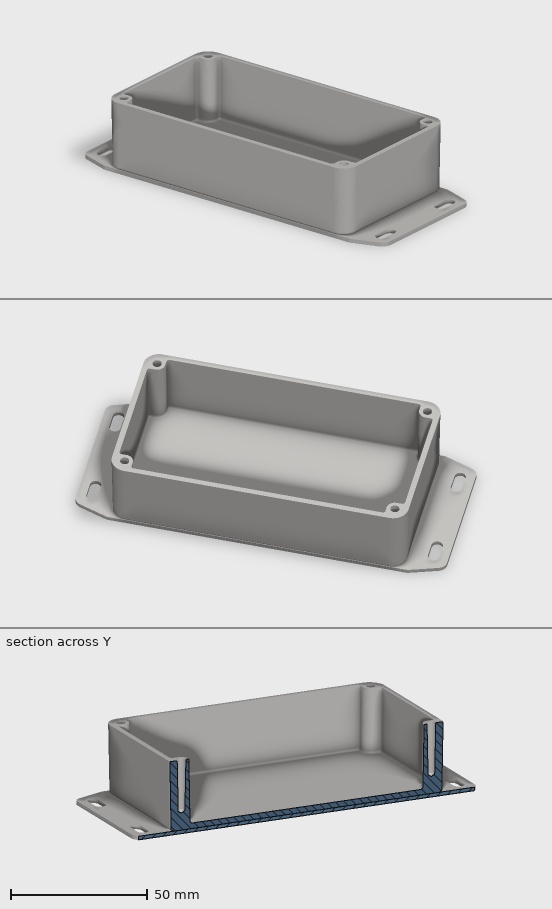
import cadquery as cq
import math

plate_length = 140.2
plate_width = 59.0
plate_thickness = 1.5
plate_full_width_length = 113.5
ear_end_width = 49.9
ear_corner_radius = 3.5

slot_width = 4.2
slot_length = 9.8
slot_spacing_x = 129.0
slot_spacing_y = 35.6

box_length = 112.0
box_width = 60.5
total_height = 28.5
box_height = total_height - plate_thickness
box_corner_radius = 5.9
draft_angle = 1.1
bottom_edge_radius = 1.0

wall_thickness = 2.1
floor_thickness = 2.1
inner_edge_radius = 1.0

boss_radius = 3.1
screw_spacing_x = 102.1
screw_spacing_y = 50.5
screw_hole_diameter = 3.4
screw_hole_end_diameter = 2.5
screw_hole_depth = 19.6
screw_hole_tip_angle = 118.0


def make_plate():
    """Flat plate with tapering ears and two elongated mounting slots at each end."""
    half_length = plate_length / 2
    half_width = plate_width / 2
    ear_start = plate_full_width_length / 2
    half_end = ear_end_width / 2
    plate = (
        cq.Workplane("XY")
        .polyline([
            (-half_length, -half_end),
            (-ear_start, -half_width),
            (ear_start, -half_width),
            (half_length, -half_end),
            (half_length, half_end),
            (ear_start, half_width),
            (-ear_start, half_width),
            (-half_length, half_end),
        ])
        .close()
        .extrude(plate_thickness)
    )
    end_corners = plate.faces("<X or >X").edges("|Z")
    plate = end_corners.fillet(ear_corner_radius)
    slots = (
        cq.Workplane("XY")
        .rarray(slot_spacing_x, slot_spacing_y, 2, 2)
        .slot2D(slot_length, slot_width, 90)
        .extrude(plate_thickness)
    )
    return plate.cut(slots)


def make_shell():
    """Outer form of the box: drafted walls, rounded corners and a rounded bottom edge."""
    rim = cq.Sketch().rect(box_length, box_width).vertices().fillet(box_corner_radius)
    shell = (
        cq.Workplane("XY", origin=(0, 0, total_height))
        .placeSketch(rim)
        .extrude(-box_height, taper=draft_angle)
    )
    return shell.faces("<Z").edges().fillet(bottom_edge_radius)


def make_cavity():
    """Inner space of the box, stepping around a rounded boss in each corner."""
    cavity_length = box_length - 2 * wall_thickness
    cavity_width = box_width - 2 * wall_thickness
    block_length = cavity_length - screw_spacing_x + 2 * boss_radius
    block_width = cavity_width - screw_spacing_y + 2 * boss_radius
    outline = (
        cq.Sketch()
        .rect(cavity_length, cavity_width)
        .rarray(cavity_length, cavity_width, 2, 2)
        .rect(block_length, block_width, mode="s")
        .reset()
        .vertices("not(<X or >X or <Y or >Y)")
        .fillet(boss_radius)
    )
    cavity = (
        cq.Workplane("XY", origin=(0, 0, total_height))
        .placeSketch(outline)
        .extrude(floor_thickness - box_height, taper=draft_angle)
    )
    wall_faces = cavity.faces("<X or >X or <Y or >Y")
    upright_edges = wall_faces.edges("not(#Z)")
    rounded_edges = upright_edges.add(cavity.faces("<Z").edges())
    return rounded_edges.fillet(inner_edge_radius)


def make_screw_holes():
    """Blind tapered holes with conical tips, one down the axis of each boss."""
    radius = screw_hole_diameter / 2
    end_radius = screw_hole_end_diameter / 2
    tip_depth = end_radius / math.tan(math.radians(screw_hole_tip_angle / 2))
    drill = (
        cq.Workplane("XZ")
        .polyline([
            (0, 0),
            (radius, 0),
            (end_radius, -screw_hole_depth),
            (0, -screw_hole_depth - tip_depth),
        ])
        .close()
        .revolve(360, (0, 0), (0, 1))
        .val()
    )
    return (
        cq.Workplane("XY", origin=(0, 0, total_height))
        .rarray(screw_spacing_x, screw_spacing_y, 2, 2)
        .eachpoint(lambda place: drill.moved(place))
    )


def make_box():
    """Box resting on the plate: shell, hollowed, with a screw hole in each boss."""
    return make_shell().cut(make_cavity()).cut(make_screw_holes())


plate = make_plate()
box = make_box()

result = cq.Compound.makeCompound([plate.val(), box.val()])